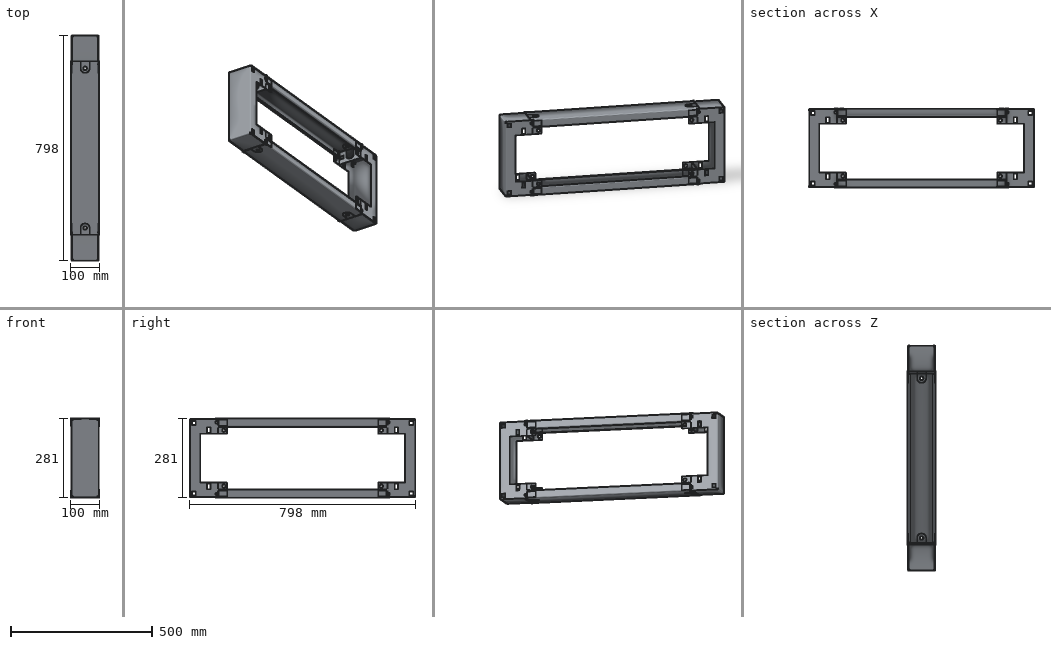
import cadquery as cq

frame_width = 100.0
frame_length = 798.0
frame_height = 281.0
sheet = 1.5
bend_radius = 5.0
inner_bend_radius = bend_radius - sheet

rail_length = 614.5
flange_length = 594.0
flange_depth = 30.0
lip_width = 10.0
screw_diameter = 12.0
screw_y = 282.5

cap_width = frame_width - 2 * sheet
cap_height = frame_height - 2 * sheet
cap_end_y = frame_length / 2
plate_gap = 1.0
opening_height = 171.5
opening_y = 361.5
arm_end_y = 267.0
arm_corner_radius = 4.0
cross_wall_y = 299.0

mounting_hole_y = 278.5
mounting_hole_z = 99.0
mounting_hole_diameter = 11.0
relief_hole_y = 304.0
relief_hole_z = 127.0
relief_hole_diameter = 8.0
slot_y = 332.0
slot_z = 100.0
slot_width = 11.0
slot_height = 19.0
square_y = 385.0
square_z = 124.5
square_size = 13.0

tongue_width = 32.0
window_height = 41.5
notch_depth = 19.0
notch_z = (106.0, 117.0)

rail_top = frame_height / 2
lip_z = rail_top - flange_depth
cap_top = cap_height / 2
side_plate_height = cap_height - 2 * plate_gap
top_plate_width = cap_width - 2 * (sheet + plate_gap)
bend_start_y = cap_end_y - bend_radius
end_flat_width = cap_width - 2 * bend_radius
end_flat_height = cap_height - 2 * bend_radius


def block(x_range, y_range, z_range):
    """Box spanning the given (low, high) ranges."""
    spans = (x_range, y_range, z_range)
    sizes = [high - low for low, high in spans]
    low_corner = tuple(low for low, high in spans)
    return cq.Workplane("XY").box(*sizes, centered=False).translate(low_corner)


def centred(size):
    """Range of the given size about zero."""
    return (-size / 2, size / 2)


def cross_cylinder(y, z, diameter):
    """Cylinder along X through both side plates."""
    return cq.Workplane("YZ").center(y, z).circle(diameter / 2).extrude(cap_width, both=True)


def screw_cutter():
    """Vertical cylinder through the web and the tongue under it."""
    return (
        cq.Workplane("XY", origin=(0, screw_y, rail_top - 2 * sheet))
        .circle(screw_diameter / 2)
        .extrude(2 * sheet)
    )


def make_top_rail():
    flange_y = centred(flange_length)
    outside = block(centred(frame_width), flange_y, (lip_z, rail_top)).edges("|Y").fillet(bend_radius)
    inside = (
        block(centred(frame_width - 2 * sheet), flange_y, (lip_z + sheet, rail_top - sheet))
        .edges("|Y")
        .fillet(inner_bend_radius)
    )
    mouth = block(centred(frame_width - 2 * lip_width), flange_y, (lip_z, lip_z + 2 * sheet))
    rail = outside.cut(inside).cut(mouth)
    flat_end = block(
        centred(frame_width),
        (flange_length / 2, rail_length / 2),
        (rail_top - sheet, rail_top),
    )
    screw_hole = screw_cutter()
    rail = rail.union(flat_end).union(flat_end.mirror("XZ"))
    return rail.cut(screw_hole).cut(screw_hole.mirror("XZ"))


def make_side_channel():
    """End plate and the two side plates, with the corners of the bends relieved."""
    outside = (
        block(centred(cap_width), (arm_end_y, cap_end_y), centred(side_plate_height))
        .faces(">Y").edges("|Z").fillet(bend_radius)
    )
    inside = (
        block(centred(cap_width - 2 * sheet), (arm_end_y, cap_end_y - sheet), centred(side_plate_height))
        .faces(">Y").edges("|Z").fillet(inner_bend_radius)
    )
    plates = outside.cut(inside)
    window = block(centred(cap_width), (arm_end_y, opening_y), centred(opening_height))
    plates = plates.cut(window)
    end_zone = block(centred(cap_width), (bend_start_y, cap_end_y), centred(cap_height))
    kept_end = block(centred(cap_width), (bend_start_y, cap_end_y), centred(end_flat_height))
    return plates.cut(end_zone.cut(kept_end))


def make_top_channel():
    """End plate, top and bottom plates and the cross walls bent from them."""
    x_range = centred(top_plate_width)
    outside = (
        block(x_range, (cross_wall_y, cap_end_y), centred(cap_height)).edges("|X").fillet(bend_radius)
    )
    inside = (
        block(x_range, (cross_wall_y + sheet, cap_end_y - sheet), centred(cap_height - 2 * sheet))
        .edges("|X").fillet(inner_bend_radius)
    )
    plates = outside.cut(inside)
    plates = plates.cut(block(x_range, (cross_wall_y, cross_wall_y + sheet), centred(opening_height)))
    end_zone = block(centred(cap_width), (bend_start_y, cap_end_y), centred(cap_height))
    kept_end = block(centred(end_flat_width), (bend_start_y, cap_end_y), centred(cap_height))
    return plates.cut(end_zone.cut(kept_end))


def tongue_window():
    """Arched opening left in the upper cross wall by the tongue."""
    radius = tongue_width / 2
    spring_z = cap_top - window_height + radius
    return (
        cq.Workplane("XZ", origin=(0, cross_wall_y + bend_radius, 0))
        .moveTo(-radius, cap_top)
        .lineTo(-radius, spring_z)
        .threePointArc((0, spring_z - radius), (radius, spring_z))
        .lineTo(radius, cap_top)
        .close()
        .extrude(bend_radius)
    )


def make_tongue():
    """Flat tongue with a rounded tip about the screw hole."""
    radius = tongue_width / 2
    root_y = cross_wall_y + bend_radius
    z_range = (cap_top - sheet, cap_top)
    tip = cq.Workplane("XY", origin=(0, screw_y, z_range[0])).circle(radius).extrude(sheet)
    return block(centred(tongue_width), (screw_y, root_y), z_range).union(tip).cut(screw_cutter())


def side_plate_cutters():
    """Holes and slots of the upper half of both side plates, and the clearances for the rail bends."""
    slot = block(
        centred(frame_width),
        (slot_y - slot_width / 2, slot_y + slot_width / 2),
        (slot_z - slot_height / 2, slot_z + slot_height / 2),
    )
    square = block(
        centred(frame_width),
        (square_y - square_size / 2, square_y + square_size / 2),
        (square_z - square_size / 2, square_z + square_size / 2),
    )
    arm_y = (arm_end_y, flange_length / 2)
    lip_slit = block(centred(frame_width), arm_y, (lip_z, lip_z + bend_radius))
    edge_relief = block(centred(frame_width), arm_y, (rail_top - bend_radius, rail_top))
    return [
        slot,
        square,
        lip_slit,
        edge_relief,
        cross_cylinder(mounting_hole_y, mounting_hole_z, mounting_hole_diameter),
        cross_cylinder(relief_hole_y, relief_hole_z, relief_hole_diameter),
    ]


def wall_notch():
    """Notch in the +X edge of the upper cross wall."""
    outer_edge = top_plate_width / 2
    return block(
        (outer_edge - notch_depth, outer_edge),
        (cross_wall_y, cross_wall_y + sheet),
        notch_z,
    )


def round_arm_corners(side_plates):
    """Round the window-side corners at the free ends of the four arms."""
    margin = sheet
    corner_zone = cq.selectors.BoxSelector(
        (-frame_width, arm_end_y - margin, -opening_height / 2 - margin),
        (frame_width, arm_end_y + margin, opening_height / 2 + margin),
    )
    return side_plates.edges(corner_zone).edges("|X").fillet(arm_corner_radius)


def make_end_cap():
    side_plates = round_arm_corners(make_side_channel())
    for cutter in side_plate_cutters():
        side_plates = side_plates.cut(cutter).cut(cutter.mirror("XY"))

    top_plates = make_top_channel()
    notch = wall_notch()
    for cutter in (tongue_window(), notch, notch.mirror("YZ")):
        top_plates = top_plates.cut(cutter).cut(cutter.mirror("XY"))

    tongue = make_tongue()
    top_plates = top_plates.union(tongue).union(tongue.mirror("XY"))
    return side_plates.union(top_plates)


top_rail = make_top_rail()
end_cap = make_end_cap()
rails = [top_rail, top_rail.mirror("XY")]
end_caps = [end_cap, end_cap.mirror("XZ")]
result = cq.Compound.makeCompound([body.val() for body in rails + end_caps])